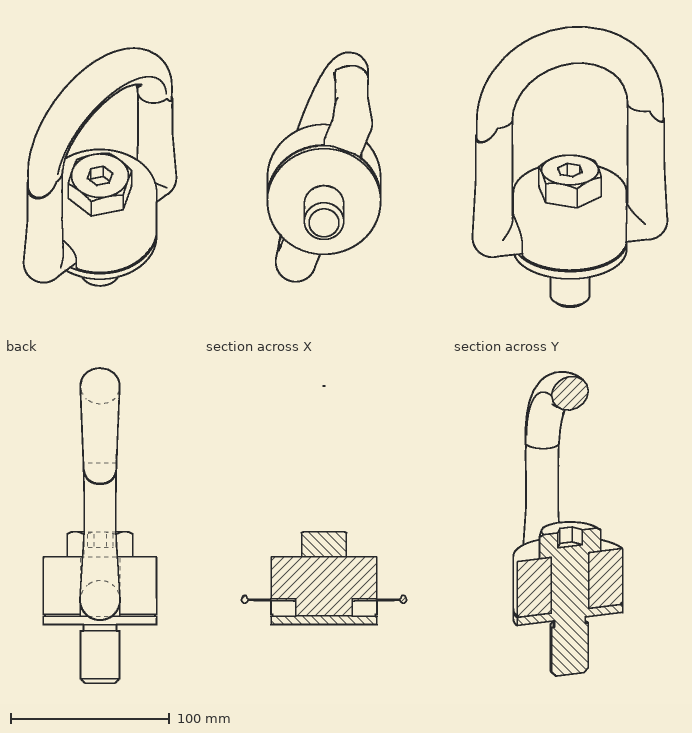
import cadquery as cq
import math

OVERLAP = 2.0

HOUSING_RADIUS = 35.8
HOUSING_TOP = 43.0
RIM_FILLET = 1.0
FLANGE_THICKNESS = 5.4
GROOVE_HEIGHT = 1.2
GROOVE_DEPTH = 1.0
HOUSING_BOTTOM = FLANGE_THICKNESS + GROOVE_HEIGHT
SPIGOT_RADIUS = HOUSING_RADIUS - GROOVE_DEPTH

THREAD_RADIUS = 24.8 / 2
NECK_RADIUS = 10.5
NECK_LENGTH = 4.0
BOLT_LENGTH = 37.0
TIP_CHAMFER = 3.0
SHANK_RADIUS = THREAD_RADIUS
HEX_FLATS = 36.0
HEX_HEIGHT = 15.7
HEX_CHAMFER_ANGLE = 30
SOCKET_FLATS = 14.1
SOCKET_DEPTH = 10.0

BAIL_TOP = 161.8
BAIL_INNER_RADIUS = 74.5 / 2
LEG_DEPTH = 23.5
LEG_HALF_WIDTH = 20.0 / 2
BOW_DEPTH = 22.7
BOW_END_HALF_WIDTH = 10.5
BOW_APEX_HALF_WIDTH = 12.5
BOW_STEPS = 12
BOW_CENTER_Z = BAIL_TOP - BAIL_INNER_RADIUS - BOW_DEPTH
TAPER_TOP = 57.6
LEG_STRAIGHT_TOP = 81.5
STEP_TOE_Z = 88.5
STEP_SAG = 1.0
BALL_RADIUS = 12.7
BALL_Y = BAIL_INNER_RADIUS + BALL_RADIUS
PIVOT_Z = 15.5
TRUNNION_RADIUS = 12.5
TRUNNION_END_Y = 17.9


def cylinder(radius, bottom, top):
    return cq.Workplane("XY").workplane(offset=bottom).circle(radius).extrude(top - bottom)


def hexagon(flats, bottom, top):
    corner_diameter = flats / math.cos(math.radians(30))
    return cq.Workplane("XY").workplane(offset=bottom).polygon(6, corner_diameter).extrude(top - bottom)


def trunnion(side):
    """Pivot pin along Y, from inside the housing to the leg ball; side is +1 or -1."""
    plane = cq.Plane(origin=(0, side * TRUNNION_END_Y, PIVOT_Z), xDir=(1, 0, 0), normal=(0, side, 0))
    return cq.Workplane(plane).circle(TRUNNION_RADIUS).extrude(BALL_Y - TRUNNION_END_Y)


def build_housing():
    body = cylinder(HOUSING_RADIUS, HOUSING_BOTTOM, HOUSING_TOP)
    body = body.faces(">Z").edges().fillet(RIM_FILLET)
    body = body.union(cylinder(SPIGOT_RADIUS, FLANGE_THICKNESS, HOUSING_BOTTOM))
    body = body.cut(cylinder(SHANK_RADIUS, 0, HOUSING_TOP + OVERLAP))
    for side in (1, -1):
        slot_length = HOUSING_RADIUS + OVERLAP - TRUNNION_END_Y
        slot = cq.Workplane("XY").box(
            2 * TRUNNION_RADIUS, slot_length, PIVOT_Z, centered=(True, True, False)
        ).translate((0, side * (TRUNNION_END_Y + slot_length / 2), 0))
        body = body.cut(slot).cut(trunnion(side))
    return body


def build_hex_head():
    top = HOUSING_TOP + HEX_HEIGHT
    head = hexagon(HEX_FLATS, HOUSING_TOP, top)
    rise = HEX_HEIGHT + OVERLAP
    base_radius = HEX_FLATS / 2 + HEX_HEIGHT / math.tan(math.radians(HEX_CHAMFER_ANGLE))
    tip_radius = base_radius - rise / math.tan(math.radians(HEX_CHAMFER_ANGLE))
    cone = cq.Solid.makeCone(base_radius, tip_radius, rise, cq.Vector(0, 0, HOUSING_TOP))
    head = head.intersect(cq.Workplane(cone))
    return head.cut(hexagon(SOCKET_FLATS, top - SOCKET_DEPTH, top + OVERLAP))


def build_bolt():
    thread = cylinder(THREAD_RADIUS, -BOLT_LENGTH, -NECK_LENGTH).faces("<Z").chamfer(TIP_CHAMFER)
    flange = cylinder(HOUSING_RADIUS, 0, FLANGE_THICKNESS)
    for side in (1, -1):
        flange = flange.cut(trunnion(side))
    bolt = thread.union(cylinder(NECK_RADIUS, -NECK_LENGTH, 0)).union(flange)
    bolt = bolt.union(cylinder(SHANK_RADIUS, 0, HOUSING_TOP))
    return bolt.union(build_hex_head())


def ellipse_wire(center, normal, half_width, half_depth):
    """Bail section: half_width along X, half_depth across it in the section plane."""
    plane = cq.Plane(origin=center, xDir=(1, 0, 0), normal=normal)
    return cq.Workplane(plane).ellipse(half_width, half_depth).wires().val()


def leg_wire(z, half_width, depth):
    """Horizontal leg section on the +Y side, flush with the inner side of the leg."""
    return ellipse_wire((0, BAIL_INNER_RADIUS + depth / 2, z), (0, 0, 1), half_width, depth / 2)


def leg_piece(bottom_wire, top_wire):
    return cq.Workplane(cq.Solid.makeLoft([bottom_wire, top_wire], True))


def build_bow():
    path_radius = BAIL_INNER_RADIUS + BOW_DEPTH / 2
    wires = []
    for step in range(BOW_STEPS + 1):
        angle = math.pi * step / BOW_STEPS
        center = (0, path_radius * math.cos(angle), BOW_CENTER_Z + path_radius * math.sin(angle))
        tangent = (0, -math.sin(angle), math.cos(angle))
        swell = (BOW_APEX_HALF_WIDTH - BOW_END_HALF_WIDTH) * math.sin(angle)
        wires.append(ellipse_wire(center, tangent, BOW_END_HALF_WIDTH + swell, BOW_DEPTH / 2))
    return cq.Workplane(cq.Solid.makeLoft(wires))


def build_leg():
    """Leg on the +Y side, with its ball end and trunnion."""
    straight_wire = leg_wire(LEG_STRAIGHT_TOP, LEG_HALF_WIDTH, LEG_DEPTH)
    upper = leg_piece(straight_wire, leg_wire(BOW_CENTER_Z, BOW_END_HALF_WIDTH, LEG_DEPTH))
    tail = leg_piece(
        leg_wire(LEG_STRAIGHT_TOP, LEG_HALF_WIDTH, BOW_DEPTH),
        leg_wire(BOW_CENTER_Z, BOW_END_HALF_WIDTH, BOW_DEPTH),
    )
    mid_y = BAIL_INNER_RADIUS + LEG_DEPTH / 2
    outer_y = BAIL_INNER_RADIUS + LEG_DEPTH
    arc_middle = ((mid_y + outer_y) / 2 - STEP_SAG, (BOW_CENTER_Z + STEP_TOE_Z) / 2 - STEP_SAG)
    corner = (
        cq.Workplane("YZ")
        .moveTo(mid_y, BOW_CENTER_Z)
        .threePointArc(arc_middle, (outer_y, STEP_TOE_Z))
        .lineTo(outer_y, BOW_CENTER_Z)
        .close()
        .extrude(BALL_RADIUS, both=True)
    )
    upper = upper.cut(corner).union(tail.intersect(corner))

    taper_wire = leg_wire(TAPER_TOP, LEG_HALF_WIDTH, LEG_DEPTH)
    middle = leg_piece(taper_wire, straight_wire)
    lower = leg_piece(leg_wire(PIVOT_Z, BALL_RADIUS, 2 * BALL_RADIUS), taper_wire)
    ball = cq.Workplane("XY").sphere(BALL_RADIUS).translate((0, BALL_Y, PIVOT_Z))
    return upper.union(middle).union(lower).union(ball).union(trunnion(1))


def build_bail():
    leg = build_leg()
    return build_bow().union(leg).union(leg.mirror("XZ"))


housing = build_housing()
bolt = build_bolt()
bail = build_bail()
result = cq.Compound.makeCompound([housing.solids().val(), bolt.solids().val(), bail.solids().val()])